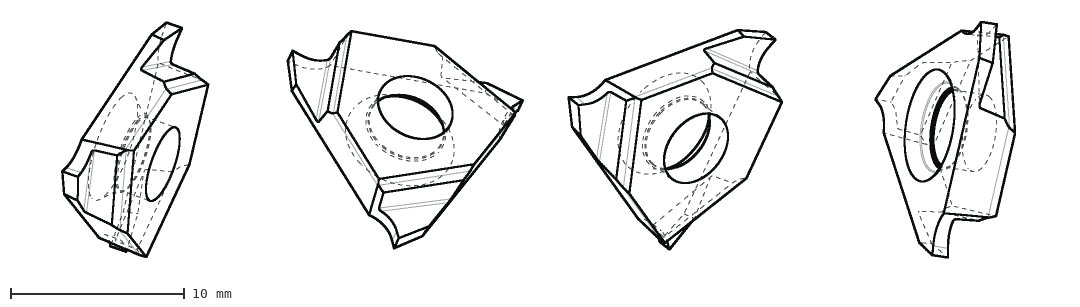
import cadquery as cq
import math

OVERALL_WIDTH = 13.79
THICKNESS = 3.19
CORNERS = 3
STEP_ANGLE = 360 / CORNERS
STEP_SIN = math.sin(math.radians(STEP_ANGLE))

TIP_V = 4.29
TIP_U = (OVERALL_WIDTH - TIP_V * STEP_SIN) / 1.5
TIP_LAND_START = (6.2, 4.12)
GASH_LOWEST = (5.46, 4.0)
GASH_START_U = 3.79

FLANK_FRONT = 4.52
FLANK_BACK = 4.73
FLANK_FLARE_END = 2.7
SIDE_CORNER_U = -5.12
OUTER_V = 4.96

WALL_LOW = (5.09, -0.37)
WALL_HIGH = (4.43, 4.4)
WALL_START_X = 0.8
WALL_BEND_X = 2.35
WALL_BEND_INSET = 0.12
WALL_SHOULDER_X = 2.76
WALL_SHOULDER_INSET = 0.4
WALL_BACK_INSET = 0.55
WALL_BEND_SAG = 0.02
TIP_THICKNESS = 1.0
FLOOR_TILT = 5.6
RELIEF_FILLET = 0.14

COUNTERSINK_RADIUS = 3.25
COUNTERSINK_END = (2.62, 0.68)
SEAT_START = (2.56, 0.75)
SEAT_END = (2.39, 1.21)
SEAT_LIP = (2.28, 1.28)
BORE_START = (2.23, 1.35)

TOOL_SIZE = 2 * OVERALL_WIDTH


def turn(point, angle):
    """Rotate a section point about the hole centre."""
    c = math.cos(math.radians(angle))
    s = math.sin(math.radians(angle))
    return (point[0] * c - point[1] * s, point[0] * s + point[1] * c)


def section_plane(x=0.0):
    return cq.Workplane(cq.Plane((x, 0, 0), xDir=(0, -1, 0), normal=(-1, 0, 0)))


def place(solid, index):
    """Turn a solid to one of the three corners."""
    return solid.rotate((0, 0, 0), (1, 0, 0), index * STEP_ANGLE)


def make_outline():
    """Straight prism holding the tips and gashes, oversize at the flanks."""
    tip = (TIP_U, TIP_V)
    left_tip = turn(tip, STEP_ANGLE)
    side_slope = (FLANK_FRONT - left_tip[1]) / (SIDE_CORNER_U - left_tip[0])
    side_end = (left_tip[0] + (OUTER_V - left_tip[1]) / side_slope, OUTER_V)
    outline = section_plane().moveTo(*left_tip)
    for index in range(CORNERS):
        angle = -index * STEP_ANGLE
        outline = (
            outline.lineTo(*turn(side_end, angle))
            .lineTo(*turn((GASH_START_U, OUTER_V), angle))
            .threePointArc(turn(GASH_LOWEST, angle), turn(TIP_LAND_START, angle))
        )
        if index < CORNERS - 1:
            outline = outline.lineTo(*turn(tip, angle))
    return outline.close().extrude(-THICKNESS)


def make_flank_cutter():
    """Everything outside the top flank."""
    return (
        cq.Workplane("XZ")
        .moveTo(0, FLANK_FRONT)
        .lineTo(FLANK_FLARE_END, FLANK_BACK)
        .lineTo(THICKNESS, FLANK_BACK)
        .lineTo(THICKNESS, OVERALL_WIDTH)
        .lineTo(0, OVERALL_WIDTH)
        .close()
        .extrude(TOOL_SIZE / 2, both=True)
    )


def make_relief_cutter():
    """Space behind one tip, between the tilted tip back and the body wall."""
    run_u = WALL_HIGH[0] - WALL_LOW[0]
    run_v = WALL_HIGH[1] - WALL_LOW[1]
    length = math.hypot(run_u, run_v)
    outward_u, outward_v = run_v / length, -run_u / length
    wall_plane = cq.Plane(
        (0, -WALL_LOW[0], WALL_LOW[1]),
        xDir=(0, -outward_u, outward_v),
        normal=(0, -run_u, run_v),
    )
    toward_back = wall_plane.yDir.x
    bend_slope = WALL_BEND_INSET / (WALL_BEND_X - WALL_START_X)
    middle_inset = (WALL_BEND_INSET + WALL_SHOULDER_INSET) / 2 + WALL_BEND_SAG
    middle_x = (WALL_BEND_X + WALL_SHOULDER_X) / 2
    prism = (
        cq.Workplane(wall_plane)
        .moveTo(bend_slope * WALL_START_X, 0)
        .lineTo(-WALL_BEND_INSET, toward_back * WALL_BEND_X)
        .threePointArc(
            (-middle_inset, toward_back * middle_x),
            (-WALL_SHOULDER_INSET, toward_back * WALL_SHOULDER_X),
        )
        .lineTo(-WALL_BACK_INSET, toward_back * THICKNESS)
        .lineTo(OVERALL_WIDTH, toward_back * THICKNESS)
        .lineTo(OVERALL_WIDTH, 0)
        .close()
        .extrude(OVERALL_WIDTH, both=True)
    )
    radius = math.hypot(TIP_U, TIP_V)
    fall = math.sin(math.radians(FLOOR_TILT))
    floor_plane = cq.Plane(
        (TIP_THICKNESS, -TIP_U, TIP_V),
        xDir=(0, TIP_V, TIP_U),
        normal=(
            math.cos(math.radians(FLOOR_TILT)),
            fall * TIP_U / radius,
            -fall * TIP_V / radius,
        ),
    )
    behind_tip = cq.Workplane(floor_plane).rect(2 * TOOL_SIZE, 2 * TOOL_SIZE).extrude(TOOL_SIZE)
    cutter = prism.intersect(behind_tip)
    root = cq.selectors.NearestToPointSelector((WALL_START_X, -WALL_LOW[0], WALL_LOW[1]))
    return cutter.edges(root).fillet(RELIEF_FILLET)


def make_hole():
    """Countersink, tapered seat and through bore, revolved about X."""
    return (
        cq.Workplane("XY")
        .moveTo(0, 0)
        .lineTo(0, COUNTERSINK_RADIUS)
        .lineTo(COUNTERSINK_END[1], COUNTERSINK_END[0])
        .lineTo(SEAT_START[1], SEAT_START[0])
        .lineTo(SEAT_END[1], SEAT_END[0])
        .lineTo(SEAT_LIP[1], SEAT_LIP[0])
        .lineTo(BORE_START[1], BORE_START[0])
        .lineTo(THICKNESS, BORE_START[0])
        .lineTo(THICKNESS, 0)
        .close()
        .revolve(360, (0, 0, 0), (1, 0, 0))
    )


insert = make_outline()
flank_cutter = make_flank_cutter()
relief_cutter = make_relief_cutter()
for corner in range(CORNERS):
    insert = insert.cut(place(flank_cutter, corner))
    insert = insert.cut(place(relief_cutter, corner))

result = insert.cut(make_hole())